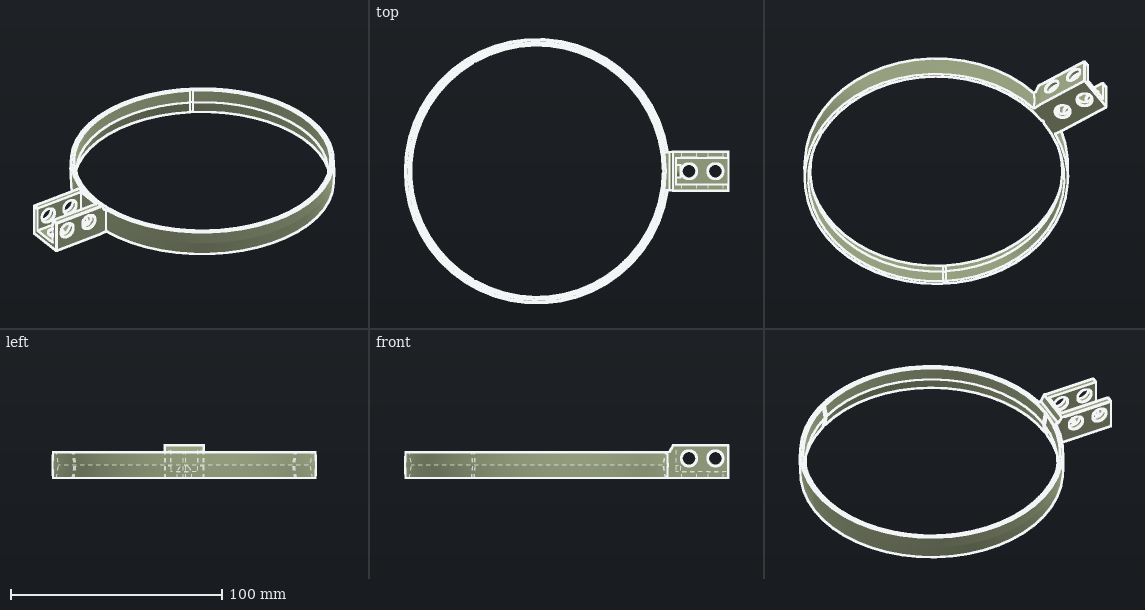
import cadquery as cq

ring_height = 12.5
ring_crest_radius = 62.5
ring_edge_radius = 62.2
bore_edge_radius = 60.6
bore_crest_radius = 59.5

groove_width = 1.4
groove_depth = 0.3
groove_count = 3

bracket_length = 25.0
bracket_width = 18.75
bracket_rise = 3.125
bracket_height = ring_height + bracket_rise
bracket_start = 65.62
bracket_end = bracket_start + bracket_length
slot_width = 12.5
floor_thickness = 3.125

neck_root_width = 17.7
neck_slope_start = 62.6
neck_slope_end = 64.4

boss_diameter = 6.0
boss_length = 2.2

hole_diameter = 7.0
hole_edge_distance = 6.25
hole_pitch = 12.5
hole_count = 2

edge_break = 0.25


def make_ring():
    """Revolved band; its seam lies on the side away from the bracket."""
    middle = ring_height / 2
    return (
        cq.Workplane("XZ")
        .moveTo(-bore_edge_radius, 0)
        .lineTo(-ring_edge_radius, 0)
        .lineTo(-ring_crest_radius, middle)
        .lineTo(-ring_edge_radius, ring_height - edge_break)
        .lineTo(-ring_edge_radius + edge_break, ring_height)
        .lineTo(-bore_edge_radius - edge_break, ring_height)
        .lineTo(-bore_edge_radius, ring_height - edge_break)
        .lineTo(-bore_crest_radius, middle)
        .close()
        .revolve(360, (0, 0, 0), (0, 1, 0))
    )


def make_neck():
    """Sloped side profile, trimmed to the tapered plan outline."""
    profile = (
        cq.Workplane("XZ")
        .moveTo(bore_edge_radius, 0)
        .lineTo(bracket_start, 0)
        .lineTo(bracket_start, bracket_height)
        .lineTo(neck_slope_end, bracket_height)
        .lineTo(neck_slope_start, ring_height)
        .lineTo(bore_edge_radius, ring_height)
        .close()
        .extrude(bracket_width / 2, both=True)
    )
    plan = (
        cq.Workplane("XY")
        .moveTo(bore_edge_radius, -neck_root_width / 2)
        .lineTo(bracket_start, -bracket_width / 2)
        .lineTo(bracket_start, bracket_width / 2)
        .lineTo(bore_edge_radius, neck_root_width / 2)
        .close()
        .extrude(bracket_height)
    )
    bore = cq.Workplane("XY").circle(bore_edge_radius + edge_break).extrude(bracket_height)
    return profile.intersect(plan).cut(bore)


def make_bracket():
    """Block with broken outer edges and an open slot between the arms."""
    centered_in_y = (False, True, False)
    block = (
        cq.Workplane("XY")
        .box(bracket_length, bracket_width, bracket_height, centered=centered_in_y)
        .edges("(>X and |Z) or (>Z and >X) or (>Z and |X)")
        .chamfer(edge_break)
    )
    slot = (
        cq.Workplane("XY", origin=(0, 0, floor_thickness))
        .box(bracket_length, slot_width, bracket_height, centered=centered_in_y)
    )
    boss = (
        cq.Workplane("YZ", origin=(0, 0, floor_thickness))
        .circle(boss_diameter / 2)
        .extrude(boss_length)
    )
    half_boss = boss.intersect(slot)
    return block.cut(slot).union(half_boss).translate((bracket_start, 0, 0))


def make_hole(plane, origin, depth):
    """Cutter for a straight hole with a chamfered rim at both ends."""
    radius = hole_diameter / 2
    return (
        cq.Workplane(plane, origin=origin)
        .circle(radius)
        .extrude(-depth)
        .union(make_rim(plane, origin, 0, -edge_break))
        .union(make_rim(plane, origin, -depth, edge_break))
    )


def make_rim(plane, origin, face_offset, taper_depth):
    """Cone that narrows from a face down to the hole diameter."""
    radius = hole_diameter / 2
    return (
        cq.Workplane(plane, origin=origin)
        .workplane(offset=face_offset)
        .circle(radius + edge_break)
        .workplane(offset=taper_depth)
        .circle(radius)
        .loft()
    )


def cut_holes(body):
    """Matching holes through both arms and the floor."""
    arm_thickness = (bracket_width - slot_width) / 2
    arm_hole_z = bracket_height - hole_edge_distance
    for index in range(hole_count):
        x = bracket_end - hole_edge_distance - index * hole_pitch
        arm_hole = make_hole("XZ", (x, -bracket_width / 2, arm_hole_z), arm_thickness)
        floor_hole = make_hole("XY", (x, 0, floor_thickness), floor_thickness)
        body = body.cut(arm_hole).cut(arm_hole.mirror("XZ")).cut(floor_hole)
    return body


def make_groove():
    """Strip that follows the bore profile at a constant depth."""
    middle = ring_height / 2
    return (
        cq.Workplane("XZ")
        .moveTo(0, 0)
        .lineTo(bore_edge_radius + groove_depth, 0)
        .lineTo(bore_crest_radius + groove_depth, middle)
        .lineTo(bore_edge_radius + groove_depth, ring_height)
        .lineTo(0, ring_height)
        .close()
        .extrude(groove_width / 2, both=True)
    )


def cut_grooves(body):
    """Grooves repeated around the ring's axis."""
    for index in range(groove_count):
        angle = index * 360 / groove_count
        body = body.cut(make_groove().rotate((0, 0, 0), (0, 0, 1), angle))
    return body


body = make_ring().union(make_neck()).union(make_bracket())
result = cut_grooves(cut_holes(body))